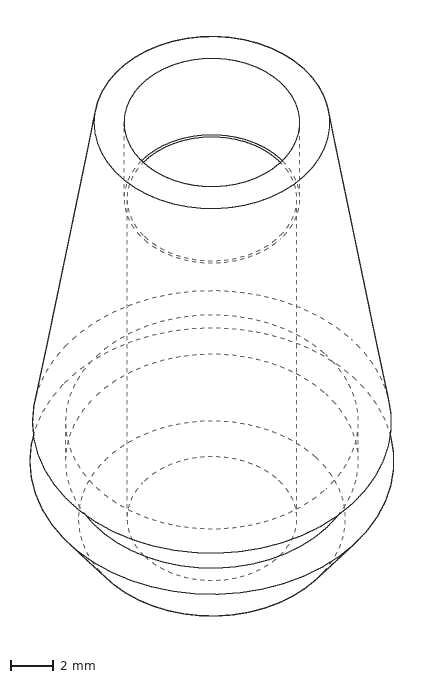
import cadquery as cq
import math

length = 27.5
flange_diameter = 17.25
flange_height = 4.0
flange_angle = 30.0

groove_radius = 6.93
groove_top = 6.7

taper_base_radius = 8.5
taper_angle = 8.0

bore_radius = 4.02
counterbore_radius = 4.15
counterbore_depth = 5.3

flange_radius = flange_diameter / 2
base_radius = flange_radius - flange_height * math.tan(math.radians(flange_angle))
top_radius = taper_base_radius - (length - groove_top) * math.tan(math.radians(taper_angle))

body = (
    cq.Workplane("XZ")
    .polyline([
        (0, 0),
        (base_radius, 0),
        (flange_radius, flange_height),
        (groove_radius, flange_height),
        (groove_radius, groove_top),
        (taper_base_radius, groove_top),
        (top_radius, length),
        (0, length),
    ])
    .close()
    .revolve(360, (0, 0), (0, 1))
)

bore = cq.Workplane("XY").circle(bore_radius).extrude(length)
counterbore = (
    cq.Workplane("XY")
    .workplane(offset=length - counterbore_depth)
    .circle(counterbore_radius)
    .extrude(counterbore_depth)
)

result = body.cut(bore).cut(counterbore)